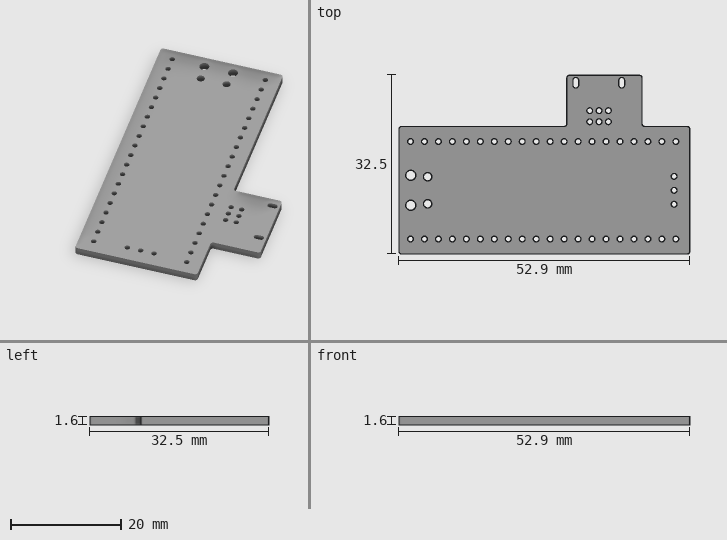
import cadquery as cq

board_length = 52.85
board_width = 23.2
thickness = 1.6
corner_radius = 0.5

total_width = 32.5
tab_left = 30.5
tab_width = 13.7
tab_corner_radius = 0.5
tab_root_radius = 0.5

pin_diameter = 1.0
small_peg_diameter = 1.5
large_peg_diameter = 1.8
pin_pitch = 2.55
pins_per_row = 20
pin_row_count = 2
peg_count = 2
pin_row_center_x = 26.2
row_spacing = 17.7
end_pin_count = 3
end_pin_x = 50.0
small_peg_x = 5.25
small_peg_spacing = 4.9
large_peg_x = 2.15
large_peg_spacing = 5.45
tab_hole_columns = 3
tab_hole_rows = 2
tab_hole_pitch_x = 1.7
tab_hole_pitch_y = 2.0
tab_hole_center_x = 36.35
tab_hole_center_y = 25.05
slot_length = 1.9
slot_count = 2
slot_spacing = 8.35
slot_center_x = 36.3
slot_edge_distance = 1.35

center_y = board_width / 2


def plate(left, bottom, length, width):
    """Flat rectangular plate standing on Z = 0."""
    return cq.Workplane("XY").box(length, width, thickness, centered=False).translate((left, bottom, 0))


def hole_grid(x, y, pitch_x, pitch_y, count_x, count_y, diameter):
    """Through-hole cutters in a grid centered on (x, y)."""
    grid = cq.Workplane("XY").center(x, y).rarray(pitch_x, pitch_y, count_x, count_y)
    return grid.circle(diameter / 2).extrude(thickness)


def hole_column(x, pitch, count, diameter):
    """Through-hole cutters in a column centered on the board's width."""
    return hole_grid(x, center_y, pin_pitch, pitch, 1, count, diameter)


board = plate(0, 0, board_length, board_width).edges("|Z").fillet(corner_radius)
tab = plate(tab_left, center_y, tab_width, total_width - center_y)
tab = tab.edges("|Z and >Y").fillet(tab_corner_radius)
tab_roots = cq.selectors.BoxSelector(
    (tab_left - tab_root_radius, board_width - tab_root_radius, 0),
    (tab_left + tab_width + tab_root_radius, board_width + tab_root_radius, thickness),
)
result = board.union(tab).edges("|Z").edges(tab_roots).fillet(tab_root_radius)

result = result.cut(
    hole_grid(pin_row_center_x, center_y, pin_pitch, row_spacing, pins_per_row, pin_row_count, pin_diameter)
)
result = result.cut(hole_column(end_pin_x, pin_pitch, end_pin_count, pin_diameter))

result = result.cut(hole_column(small_peg_x, small_peg_spacing, peg_count, small_peg_diameter))
result = result.cut(hole_column(large_peg_x, large_peg_spacing, peg_count, large_peg_diameter))

result = result.cut(
    hole_grid(
        tab_hole_center_x,
        tab_hole_center_y,
        tab_hole_pitch_x,
        tab_hole_pitch_y,
        tab_hole_columns,
        tab_hole_rows,
        pin_diameter,
    )
)
slots = (
    cq.Workplane("XY")
    .center(slot_center_x, total_width - slot_edge_distance)
    .rarray(slot_spacing, 0.55, slot_count, 1)
    .slot2D(slot_length, pin_diameter, 90)
    .extrude(thickness)
)
result = result.cut(slots)